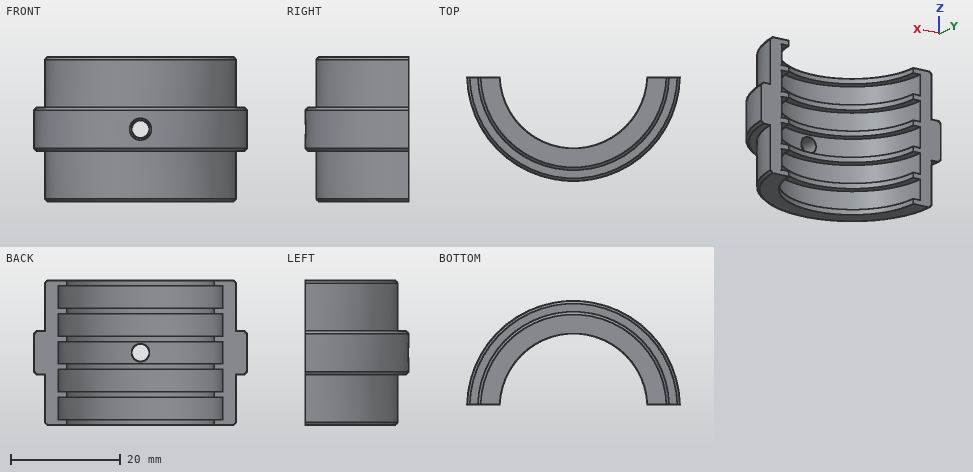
import cadquery as cq
import math

height = 26.5
split_width = 39.0
sleeve_radius = 17.5
bore_radius = 13.5
flange_height = 8.0
edge_chamfer = 0.5
split_offset = 0.5
flange_radius = math.hypot(split_width / 2, split_offset)

groove_count = 5
groove_depth = 1.52
rib_height = 1.0
groove_height = (height - (groove_count + 1) * rib_height) / groove_count

hole_diameter = 3.2
hole_chamfer = 0.4


def cylinder(radius, length, bottom):
    return cq.Workplane("XY").workplane(offset=bottom).circle(radius).extrude(length)


def chamfered_cylinder(radius, length, bottom):
    return cylinder(radius, length, bottom).faces("<Z or >Z").chamfer(edge_chamfer)


bearing = chamfered_cylinder(sleeve_radius, height, -height / 2)
bearing = bearing.union(chamfered_cylinder(flange_radius, flange_height, -flange_height / 2))
bearing = bearing.cut(cylinder(bore_radius, height, -height / 2))

for index in range(groove_count):
    groove_bottom = -height / 2 + rib_height + index * (groove_height + rib_height)
    bearing = bearing.cut(cylinder(bore_radius + groove_depth, groove_height, groove_bottom))

keep_size = 2 * flange_radius
keep_box = cq.Workplane("XY").box(keep_size, keep_size, height).translate(
    (0, -split_offset - keep_size / 2, 0)
)
bearing = bearing.intersect(keep_box)

hole = cq.Workplane("XZ").circle(hole_diameter / 2).extrude(flange_radius)
bearing = bearing.cut(hole)
mouth_selector = cq.selectors.BoxSelector(
    (-hole_diameter, -flange_radius - hole_chamfer, -hole_diameter),
    (hole_diameter, -flange_radius + hole_chamfer, hole_diameter),
)
result = bearing.edges(mouth_selector).chamfer(hole_chamfer)